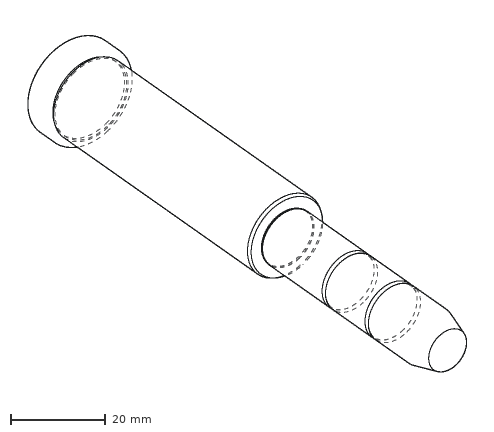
import cadquery as cq

total_length = 131.0
head_length = 6.0
neck_length = 0.8
body_end = 75.0
taper_start = 124.0
groove_centers = (97.0, 111.9)

head_diameter = 24.0
neck_diameter = 19.3
body_diameter = 20.0
pin_diameter = 14.0
tip_diameter = 10.2

head_edge_radius = 0.5
body_edge_length = 0.8
body_edge_depth = 0.4
groove_width = 1.2
groove_depth = 0.3
pin_root_length = 0.4
pin_root_depth = 0.1


def cylinder(start, end, diameter):
    """Cylinder on the X axis between two axial stations."""
    return cq.Workplane("YZ", origin=(start, 0, 0)).circle(diameter / 2).extrude(end - start)


def make_head():
    return cylinder(0, head_length, head_diameter).edges().fillet(head_edge_radius)


def make_body():
    """Relieved neck under the head, then the body with a chamfered free end."""
    neck_end = head_length + neck_length
    neck = cylinder(head_length, neck_end, neck_diameter)
    body = cylinder(neck_end, body_end, body_diameter)
    body = body.faces(">X").chamfer(body_edge_length, body_edge_depth)
    return neck.union(body)


def make_pin():
    """Pin with a conical tip, revolved about the X axis."""
    pin_radius = pin_diameter / 2
    root_end = body_end + pin_root_length
    profile = (
        cq.Workplane("XY")
        .moveTo(body_end, 0)
        .lineTo(body_end, pin_radius - pin_root_depth)
        .lineTo(root_end, pin_radius - pin_root_depth)
        .lineTo(root_end, pin_radius)
    )
    for center in groove_centers:
        profile = profile.lineTo(center - groove_width / 2, pin_radius).threePointArc(
            (center, pin_radius - groove_depth), (center + groove_width / 2, pin_radius)
        )
    profile = (
        profile.lineTo(taper_start, pin_radius)
        .lineTo(total_length, tip_diameter / 2)
        .lineTo(total_length, 0)
        .close()
    )
    return profile.revolve(360, (0, 0, 0), (1, 0, 0))


result = make_head().union(make_body()).union(make_pin())